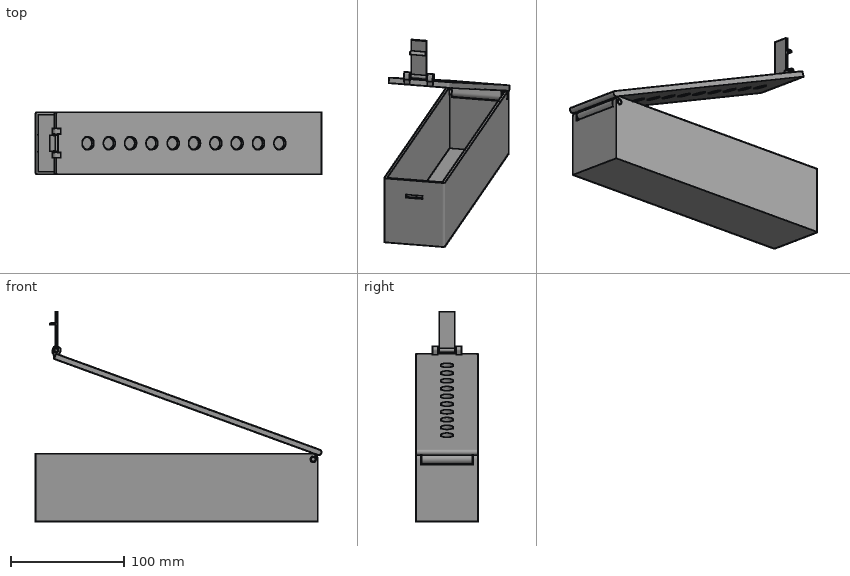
import cadquery as cq
import math

BOX_LENGTH = 249.0
WIDTH = 55.0
BOX_HEIGHT = 60.0
WALL = 2.5
END_WALL = 2 * WALL
CORNER_RADIUS = 2.0

HINGE_X = 245.0
HINGE_DROP = 5.0
HINGE_Z = BOX_HEIGHT - HINGE_DROP
HINGE_PIN_DIAMETER = 4.0
HINGE_HOLE_DIAMETER = 5.0
LUG_RADIUS = 4.0
LUG_WIDTH = 44.8
LUG_CLEARANCE = 0.6

LID_LENGTH = 250.0
LID_THICKNESS = 5.0
LID_TOP = BOX_HEIGHT + LID_THICKNESS
LID_OPENING = 20.0
VENT_DIAMETER = 11.2
VENT_COUNT = 10
VENT_PITCH = 20.0
FIRST_VENT_X = 30.0

PIVOT_X = -1.0
PIVOT_Z = LID_TOP + 3.0
PIVOT_ROD_DIAMETER = 3.0
PIVOT_HOLE_DIAMETER = 4.0
KNUCKLE_SIZE = 7.0
KNUCKLE_RADIUS = 2.3
KNUCKLE_SHIFT = 0.5
KNUCKLE_DROP = 0.3
KNUCKLE_INNER_Y = 8.0
KNUCKLE_OUTER_Y = 13.0

LATCH_TOP_Z = 185.18
LATCH_WIDTH = 14.0
LATCH_THICKNESS = 2.0
LATCH_BACK = 0.75
LATCH_BARREL_DIAMETER = 4.0
TAB_DISTANCE = 23.0
TAB_LENGTH = 5.0
TAB_THICKNESS = 1.75
TAB_ROUND = 1.5
SLOT_WIDTH = 15.0
SLOT_HEIGHT = 3.0
SLOT_Z = PIVOT_Z - TAB_DISTANCE


def block(x_min, x_max, y_min, y_max, z_min, z_max):
    """Rectangular block between the given limits."""
    size = (x_max - x_min, y_max - y_min, z_max - z_min)
    return cq.Workplane("XY").box(*size, centered=False).translate((x_min, y_min, z_min))


def rod(x, z, diameter, y_min, y_max):
    """Cylinder along Y."""
    profile = cq.Workplane("XZ", origin=(x, y_min, z)).circle(diameter / 2)
    return profile.extrude(y_min - y_max)


def swing_open(body):
    """Turn a closed-lid body about the hinge axis."""
    return body.rotate((HINGE_X, 0, HINGE_Z), (HINGE_X, 1, HINGE_Z), LID_OPENING)


def opened_position(x, z):
    """Where a point of the closed lid lies once the lid is open."""
    angle = math.radians(LID_OPENING)
    dx = x - HINGE_X
    dz = z - HINGE_Z
    x_open = HINGE_X + dx * math.cos(angle) + dz * math.sin(angle)
    z_open = HINGE_Z - dx * math.sin(angle) + dz * math.cos(angle)
    return x_open, z_open


def make_box():
    half = WIDTH / 2
    body = block(0, BOX_LENGTH, -half, half, 0, BOX_HEIGHT)
    body = body.edges("|Z and <X").fillet(CORNER_RADIUS)
    body = body.edges("|Y and >X and >Z").fillet(HINGE_DROP)
    inner = half - WALL
    body = body.cut(block(WALL, BOX_LENGTH - END_WALL, -inner, inner, WALL, BOX_HEIGHT))
    notch = LUG_WIDTH / 2 + LUG_CLEARANCE
    notch_floor = HINGE_Z - LUG_RADIUS - LUG_CLEARANCE
    body = body.cut(block(BOX_LENGTH - END_WALL, BOX_LENGTH, -notch, notch, notch_floor, BOX_HEIGHT))
    body = body.cut(rod(HINGE_X, HINGE_Z, HINGE_HOLE_DIAMETER, -half, half))
    slot_bottom = SLOT_Z - SLOT_HEIGHT / 2
    slot = block(0, WALL, -SLOT_WIDTH / 2, SLOT_WIDTH / 2, slot_bottom, slot_bottom + SLOT_HEIGHT)
    return body.cut(slot)


def make_knuckle(y_min):
    """Rounded square block around the latch pivot, with a leg down the lid end."""
    width = KNUCKLE_OUTER_Y - KNUCKLE_INNER_Y
    x_min = PIVOT_X + KNUCKLE_SHIFT - KNUCKLE_SIZE / 2
    x_max = x_min + KNUCKLE_SIZE
    z_max = PIVOT_Z - KNUCKLE_DROP + KNUCKLE_SIZE / 2
    z_min = z_max - KNUCKLE_SIZE
    body = block(x_min, x_max, y_min, y_min + width, z_min, z_max)
    body = body.edges("|Y").fillet(KNUCKLE_RADIUS)
    foot = block(PIVOT_X, x_max, y_min, y_min + width, LID_TOP, PIVOT_Z)
    leg_x = x_min + KNUCKLE_RADIUS / 2
    leg_z = z_min + KNUCKLE_RADIUS / 2
    leg = (
        cq.Workplane("XZ", origin=(0, y_min, 0))
        .moveTo(0, BOX_HEIGHT)
        .lineTo(leg_x, leg_z)
        .lineTo(0, PIVOT_Z)
        .close()
        .extrude(-width)
    )
    return body.union(foot).union(leg)


def make_lid():
    half = WIDTH / 2
    nose_radius = LID_THICKNESS / 2
    nose_x = LID_LENGTH - nose_radius
    body = block(0, nose_x, -half, half, BOX_HEIGHT, LID_TOP)
    body = body.edges("|Z and <X").fillet(CORNER_RADIUS)
    body = body.union(rod(nose_x, BOX_HEIGHT + nose_radius, LID_THICKNESS, -half, half))
    for i in range(VENT_COUNT):
        vent = cq.Workplane("XY", origin=(FIRST_VENT_X + i * VENT_PITCH, 0, BOX_HEIGHT))
        body = body.cut(vent.circle(VENT_DIAMETER / 2).extrude(LID_THICKNESS))
    lug_y = LUG_WIDTH / 2
    body = body.union(block(HINGE_X - LUG_RADIUS, HINGE_X, -lug_y, lug_y, HINGE_Z, BOX_HEIGHT))
    body = body.union(rod(HINGE_X, HINGE_Z, 2 * LUG_RADIUS, -lug_y, lug_y))
    body = body.cut(rod(HINGE_X, HINGE_Z, HINGE_PIN_DIAMETER, -lug_y, lug_y))
    for y_min in (-KNUCKLE_OUTER_Y, KNUCKLE_INNER_Y):
        body = body.union(make_knuckle(y_min))
    body = body.cut(rod(PIVOT_X, PIVOT_Z, PIVOT_HOLE_DIAMETER, -KNUCKLE_OUTER_Y, KNUCKLE_OUTER_Y))
    return swing_open(body)


def make_hinge_pin():
    return rod(HINGE_X, HINGE_Z, HINGE_PIN_DIAMETER, -WIDTH / 2, WIDTH / 2)


def make_latch():
    """Upright plate with a tab and a barrel, standing on its pivot rod."""
    pivot_x, pivot_z = opened_position(PIVOT_X, PIVOT_Z)
    half = LATCH_WIDTH / 2
    back = pivot_x - LATCH_BACK
    plate = block(back, back + LATCH_THICKNESS, -half, half, pivot_z, LATCH_TOP_Z)
    tab_bottom = pivot_z + TAB_DISTANCE - TAB_THICKNESS / 2
    tab = block(back - TAB_LENGTH, back, -half, half, tab_bottom, tab_bottom + TAB_THICKNESS)
    tab = tab.edges("|Y and <X and >Z").fillet(TAB_ROUND)
    pivot = rod(pivot_x, pivot_z, PIVOT_ROD_DIAMETER, -KNUCKLE_OUTER_Y, KNUCKLE_OUTER_Y)
    barrel = rod(pivot_x, pivot_z, LATCH_BARREL_DIAMETER, -half, half)
    return plate.union(tab).union(barrel).union(pivot)


box = make_box()
lid = make_lid()
hinge_pin = make_hinge_pin()
latch = make_latch()

result = cq.Compound.makeCompound([box.val(), lid.val(), hinge_pin.val(), latch.val()])